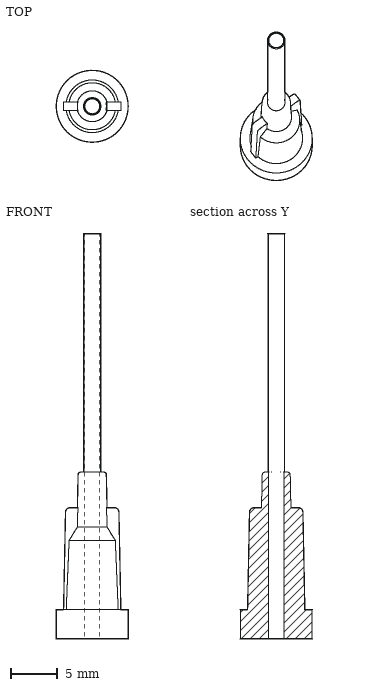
import cadquery as cq

total_height = 43.2
tube_diameter = 1.85
bore_diameter = 1.6

collar_diameter = 7.7
collar_height = 3.1
body_top = 10.5
nozzle_bottom = 11.92
nozzle_top = 17.8

body_base_radius = 2.8
body_top_radius = 2.5
nozzle_base_radius = 1.65
nozzle_top_radius = 1.5
nozzle_edge_round = 0.3

rib_top = 14.0
rib_thickness = 0.9
rib_base_reach = 3.05
rib_top_reach = 2.85
rib_corner_radius = 0.5


def make_hub():
    """Collar, tapered body, shoulder cone and tapered nozzle as one revolved solid."""
    collar_radius = collar_diameter / 2
    hub = (
        cq.Workplane("XZ")
        .moveTo(0, 0)
        .lineTo(collar_radius, 0)
        .lineTo(collar_radius, collar_height)
        .lineTo(body_base_radius, collar_height)
        .lineTo(body_top_radius, body_top)
        .lineTo(nozzle_base_radius, nozzle_bottom)
        .lineTo(nozzle_top_radius, nozzle_top)
        .lineTo(0, nozzle_top)
        .close()
        .revolve(360, (0, 0, 0), (0, 1, 0))
    )
    return hub.faces(">Z").edges().fillet(nozzle_edge_round)


def make_ribs():
    """One tapered plate across the hub; its two ends stand out as the side ribs."""
    plate = (
        cq.Workplane("XZ")
        .moveTo(-rib_base_reach, collar_height)
        .lineTo(rib_base_reach, collar_height)
        .lineTo(rib_top_reach, rib_top)
        .lineTo(-rib_top_reach, rib_top)
        .close()
        .extrude(rib_thickness / 2, both=True)
    )
    return plate.faces(">Z").edges("|Y").fillet(rib_corner_radius)


tube = cq.Workplane("XY").circle(tube_diameter / 2).extrude(total_height)
bore = cq.Workplane("XY").circle(bore_diameter / 2).extrude(total_height)

result = make_hub().union(make_ribs()).union(tube).cut(bore)